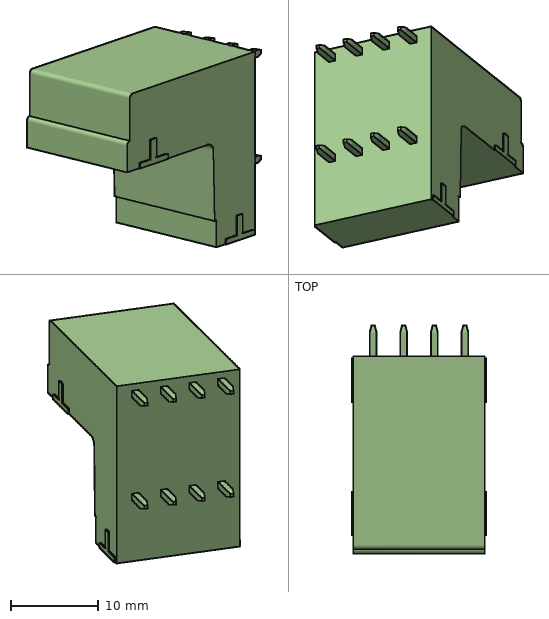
import cadquery as cq
import math

overall_width = 15.4
overall_depth = 26.2
overall_height = 21.9

rib_thickness = 0.15
housing_width = overall_width - 2 * rib_thickness
pin_length = 3.5
housing_depth = overall_depth - pin_length
edge_radius = 0.5
ledge_drop = 5.58
arm_thickness = 9.25
foot_depth = 6.86
foot_height = 3.22
foot_step = 0.31
leg_draft = 1.6
inner_radius = 0.95

pin_count = 4
pin_spacing = 3.5
pin_row_spacing = 12.7
pin_top_inset = 1.23
pin_size = 0.8
pin_tip_size = 0.4
pin_tip_length = 0.79

rib_base_width = 5.0
rib_base_height = 0.65
rib_stem_width = 1.0
rib_height = 3.0
rib_base_offset = 0.08
rib_base_radius = 0.2
rib_stem_radius = 0.13
foot_rib_inset = 2.85
arm_rib_inset = 18.13

arm_bottom = overall_height - arm_thickness


def make_housing():
    """Extrude the L-shaped side outline across the width."""
    front = -housing_depth
    upper_front = front + edge_radius
    ledge = overall_height - ledge_drop
    arc_inset = edge_radius * (1 - math.sin(math.radians(45)))
    leg_bottom_y = -foot_depth - foot_step
    leg_top_y = leg_bottom_y - (arm_bottom - foot_height) * math.tan(math.radians(leg_draft))

    outline = (
        cq.Workplane("YZ")
        .moveTo(0, 0)
        .lineTo(0, overall_height)
        .lineTo(upper_front + edge_radius, overall_height)
        .threePointArc(
            (upper_front + arc_inset, overall_height - arc_inset),
            (upper_front, overall_height - edge_radius),
        )
        .lineTo(upper_front, ledge)
        .threePointArc((front + arc_inset, ledge - arc_inset), (front, ledge - edge_radius))
        .lineTo(front, arm_bottom)
        .lineTo(leg_top_y, arm_bottom)
        .lineTo(leg_bottom_y, foot_height)
        .lineTo(-foot_depth, foot_height)
        .lineTo(-foot_depth, 0)
        .close()
    )
    housing = outline.extrude(housing_width / 2, both=True)
    inner_corner = cq.selectors.NearestToPointSelector((0, leg_top_y, arm_bottom))
    return housing.edges("|X").edges(inner_corner).fillet(inner_radius)


def make_pin(x, z):
    """Square pin standing on the back face, ending in a tapered tip."""
    shank_length = pin_length - pin_tip_length
    back_plane = cq.Workplane("XZ", origin=(x, 0, z))
    shank = back_plane.rect(pin_size, pin_size).extrude(-shank_length)
    tip = (
        back_plane.workplane(offset=-shank_length)
        .rect(pin_size, pin_size)
        .workplane(offset=-pin_tip_length)
        .rect(pin_tip_size, pin_tip_size)
        .loft()
    )
    return shank.union(tip)


def make_rib_pair(inset, bottom):
    """Matching T-shaped ribs on the two side faces, made as one bar through the housing."""
    stem_y = -inset
    base_y = stem_y + rib_base_offset
    plane = cq.Workplane("YZ")
    half_span = overall_width / 2
    base = (
        plane.center(base_y, bottom + rib_base_height / 2)
        .rect(rib_base_width, rib_base_height)
        .extrude(half_span, both=True)
        .edges("|X and >Z")
        .fillet(rib_base_radius)
    )
    stem = (
        plane.center(stem_y, bottom + rib_height / 2)
        .rect(rib_stem_width, rib_height)
        .extrude(half_span, both=True)
        .edges("|X and >Z")
        .fillet(rib_stem_radius)
    )
    return base.union(stem)


result = make_housing()

result = result.union(make_rib_pair(foot_rib_inset, 0))
result = result.union(make_rib_pair(arm_rib_inset, arm_bottom))

upper_row_z = overall_height - pin_top_inset
for row_z in (upper_row_z, upper_row_z - pin_row_spacing):
    for column in range(pin_count):
        pin_x = (column - (pin_count - 1) / 2) * pin_spacing
        result = result.union(make_pin(pin_x, row_z))